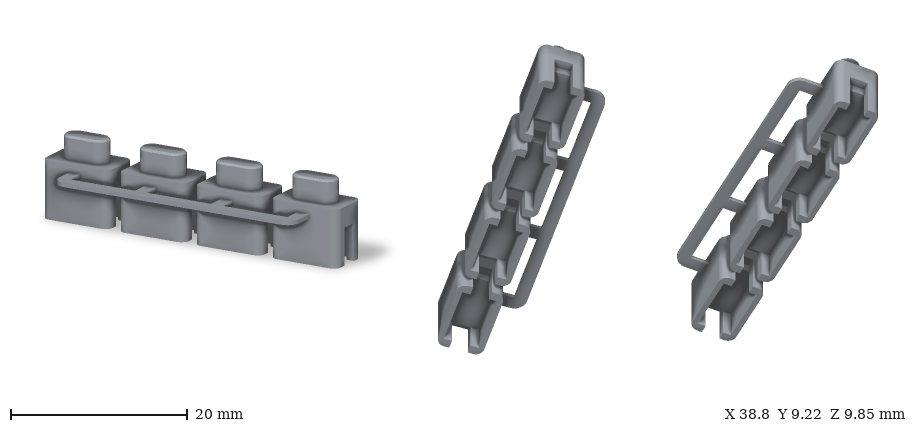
import cadquery as cq

overall_length = 38.8
button_count = 4

body_length = 8.8
body_width = 5.47
body_height = 7.0
body_corner_radius = 1.0

cap_length = 5.7
cap_width = 2.7
cap_height = 2.85
cap_bevel = 0.25

end_wall = 1.0
side_wall = 0.65
cavity_depth = 3.55
slot_width = 2.2
slot_height = 4.5

runner_reach = 3.75
runner_width = 1.5
runner_thickness = 0.5
runner_top_drop = 0.97

pitch = (overall_length - body_length) / (button_count - 1)
button_centers = [(i - (button_count - 1) / 2) * pitch for i in range(button_count)]


def bottom_box(length, width, height):
    """Box standing on Z = 0, centred in X and Y."""
    return cq.Workplane("XY").box(length, width, height, centered=(True, True, False))


def make_button():
    """One button centred on the Z axis, with its bottom at Z = 0."""
    body = bottom_box(body_length, body_width, body_height).edges("|Z").fillet(body_corner_radius)
    cap = (
        cq.Workplane("XY", origin=(0, 0, body_height))
        .slot2D(cap_length, cap_width)
        .extrude(cap_height)
        .faces(">Z")
        .chamfer(cap_bevel)
    )
    cavity = bottom_box(body_length - 2 * end_wall, body_width - 2 * side_wall, cavity_depth)

    end_slot = bottom_box(end_wall, slot_width, slot_height)
    end_slot_x = (body_length - end_wall) / 2

    button = body.union(cap).cut(cavity)
    for side in (-1, 1):
        button = button.cut(end_slot.translate((side * end_slot_x, 0, 0)))
    return button


def make_runner():
    """Bar parallel to X with its outer corners rounded, and a branch to each button."""
    body_front = -body_width / 2
    bar_length = button_centers[-1] - button_centers[0] + runner_width
    bar_y = body_front - runner_reach + runner_width / 2
    runner = bottom_box(bar_length, runner_width, runner_thickness).translate((0, bar_y, 0))
    branch = bottom_box(runner_width, runner_reach, runner_thickness)
    for x in button_centers:
        runner = runner.union(branch.translate((x, body_front - runner_reach / 2, 0)))

    outer_corners = runner.edges("|Z and <Y").edges("<X or >X")
    runner = outer_corners.fillet(runner_width)
    return runner.translate((0, 0, body_height - runner_top_drop - runner_thickness))


result = make_runner()
button_shape = make_button()
for center_x in button_centers:
    result = result.union(button_shape.translate((center_x, 0, 0)))